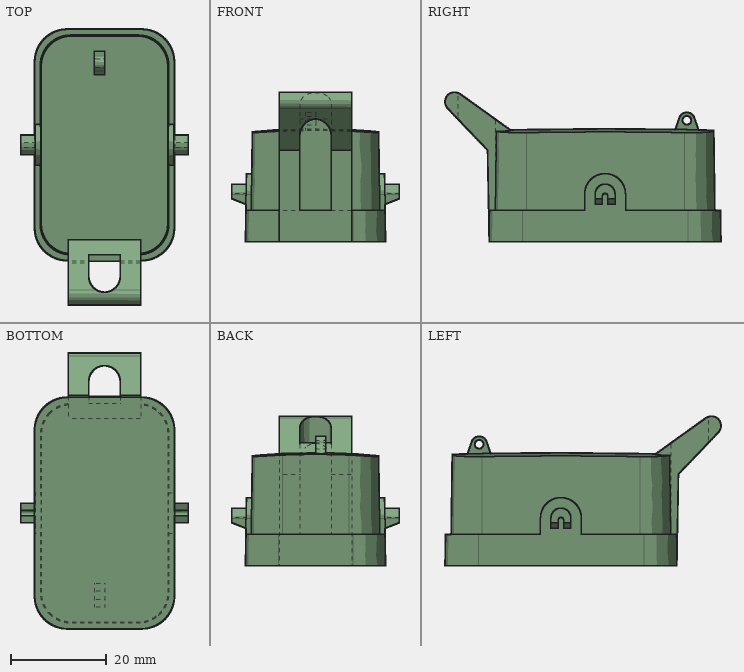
import cadquery as cq
import math

base_length = 48.3
base_width = 29.2
base_height = 6.55
base_corner_radius = 6.9
body_length = 45.8
body_width = 26.8
body_corner_radius = 6.45
draft_angle = 0.8

crown_height = 23.6
crown_drop_across = 0.7
crown_drop_along = 0.35

pin_span = 34.9
pivot_height = 9.95
boss_radius = 4.25
pin_radius = 2.05
pin_root_bottom = 7.75
pin_tip_bottom = 9.0
pin_groove_radius = 0.545
pin_groove_center = 9.55

strap_width = 15.15
strap_top_y = -24.5
strap_top_height = 19.1
handle_start_y = -19.8
handle_start_height = 23.35
handle_tip_y = base_length / 2 - 57.55
handle_tip_height = 31.2
handle_tip_radius = 2.0
slot_width = 6.5
slot_end_y = -30.65

lug_y = 17.05
lug_hole_height = 25.3
lug_radius = 1.65
lug_hole_radius = 0.89
lug_foot_half = 2.5
lug_foot_height = 23.25
lug_thickness = 2.1
lug_embed = 1.15


def drafted_block(width, length, corner_radius, bottom, top):
    """Rounded rectangle that narrows from bottom to top."""
    outline = cq.Sketch().rect(width, length).vertices().fillet(corner_radius)
    return (
        cq.Workplane("XY").workplane(offset=bottom)
        .placeSketch(outline).extrude(top - bottom, taper=draft_angle)
    )


def arc_radius(half_chord, drop):
    return (half_chord**2 + drop**2) / (2 * drop)


def crown_envelope():
    """Arched cross-section revolved about a distant X-parallel axis, giving a doubly curved top."""
    half_width = base_width / 2
    half_length = base_length / 2
    along_radius = arc_radius(body_length / 2, crown_drop_along)
    half_angle = math.degrees(math.asin(half_length / along_radius))
    across_radius = arc_radius(body_width / 2, crown_drop_across)
    edge_height = crown_height - across_radius + math.sqrt(across_radius**2 - half_width**2)
    floor = -base_height
    axis_z = crown_height - along_radius
    section = (
        cq.Workplane("XZ")
        .moveTo(-half_width, floor).lineTo(-half_width, edge_height)
        .threePointArc((0, crown_height), (half_width, edge_height))
        .lineTo(half_width, floor).close()
        .revolve(2 * half_angle, (0, axis_z, 0), (1, axis_z, 0))
    )
    return section.rotate((0, 0, axis_z), (1, 0, axis_z), -half_angle)


def arch(radius, center_height, bottom, depth):
    """Round-topped upright prism across X, centred on the origin in X."""
    return (
        cq.Workplane("YZ")
        .moveTo(-radius, bottom).lineTo(-radius, center_height)
        .threePointArc((0, center_height + radius), (radius, center_height))
        .lineTo(radius, bottom).close()
        .extrude(depth / 2, both=True)
    )


def tangent_point(point, center, radius, side):
    """Point where a line from point touches the circle; side +1 or -1 picks which of the two."""
    dy = point[0] - center[0]
    dz = point[1] - center[1]
    angle = math.atan2(dz, dy) + side * math.acos(radius / math.hypot(dy, dz))
    return (center[0] + radius * math.cos(angle), center[1] + radius * math.sin(angle))


def pivot_bosses():
    """Arched pads whose outer faces continue the sides of the base."""
    envelope = drafted_block(
        base_width, base_length, base_corner_radius, 0, pivot_height + boss_radius
    )
    return arch(boss_radius, pivot_height, 0, base_width).intersect(envelope)


def pivot_pins():
    """Round-topped pins with sloping undersides and a groove in each underside."""
    half_span = pin_span / 2
    root_x = base_width / 2 - pivot_height * math.tan(math.radians(draft_angle))
    side_outline = (
        cq.Workplane("XZ")
        .moveTo(-half_span, pin_tip_bottom).lineTo(-root_x, pin_root_bottom)
        .lineTo(root_x, pin_root_bottom).lineTo(half_span, pin_tip_bottom)
        .lineTo(half_span, pivot_height + pin_radius)
        .lineTo(-half_span, pivot_height + pin_radius).close()
        .extrude(pin_radius, both=True)
    )
    pins = arch(pin_radius, pivot_height, pin_root_bottom, pin_span).intersect(side_outline)
    core = cq.Workplane("XY").box(2 * root_x, base_length, 2 * base_height + 2 * pivot_height)
    groove = arch(pin_groove_radius, pin_groove_center, 0, pin_span).cut(core)
    return pins.cut(groove)


def strap_and_handle():
    """Front strap rising into a round-tipped handle, slotted vertically."""
    center = (handle_tip_y + handle_tip_radius, handle_tip_height - handle_tip_radius)
    handle_start = (handle_start_y, handle_start_height)
    strap_top = (strap_top_y, strap_top_height)
    upper_tangent = tangent_point(handle_start, center, handle_tip_radius, 1)
    lower_tangent = tangent_point(strap_top, center, handle_tip_radius, -1)
    tip_angle = math.atan2(center[1] - handle_start_height, center[0] - handle_start_y)
    tip = (
        center[0] + handle_tip_radius * math.cos(tip_angle),
        center[1] + handle_tip_radius * math.sin(tip_angle),
    )
    strap = (
        cq.Workplane("YZ")
        .moveTo(handle_start_y, 0).lineTo(-base_length / 2, 0).lineTo(*strap_top)
        .lineTo(*lower_tangent).threePointArc(tip, upper_tangent)
        .lineTo(*handle_start).close()
        .extrude(strap_width / 2, both=True)
    )
    slot_half = slot_width / 2
    wall_y = -body_length / 2
    slot = (
        cq.Workplane("XY").workplane(offset=base_height)
        .moveTo(-slot_half, wall_y).lineTo(-slot_half, slot_end_y + slot_half)
        .threePointArc((0, slot_end_y), (slot_half, slot_end_y + slot_half))
        .lineTo(slot_half, wall_y).close()
        .extrude(handle_tip_height)
    )
    return strap.cut(slot)


def lug():
    """Tapered ear with a round top and a cross hole, beside the centre plane."""
    center = (lug_y, lug_hole_height)
    rear_foot = (lug_y + lug_foot_half, lug_foot_height)
    front_foot = (lug_y - lug_foot_half, lug_foot_height)
    rear_tangent = tangent_point(rear_foot, center, lug_radius, 1)
    front_tangent = tangent_point(front_foot, center, lug_radius, -1)
    bottom = lug_foot_height - lug_embed
    ear = (
        cq.Workplane("YZ")
        .moveTo(front_foot[0], bottom).lineTo(*front_foot).lineTo(*front_tangent)
        .threePointArc((lug_y, lug_hole_height + lug_radius), rear_tangent)
        .lineTo(*rear_foot).lineTo(rear_foot[0], bottom).close()
        .extrude(-lug_thickness)
    )
    hole = cq.Workplane("YZ").center(*center).circle(lug_hole_radius).extrude(-lug_thickness)
    return ear.cut(hole)


base = drafted_block(base_width, base_length, base_corner_radius, 0, base_height)
body = drafted_block(body_width, body_length, body_corner_radius, base_height, crown_height)
body = body.intersect(crown_envelope())

result = (
    base.union(body)
    .union(pivot_bosses())
    .union(pivot_pins())
    .union(strap_and_handle())
    .union(lug())
)